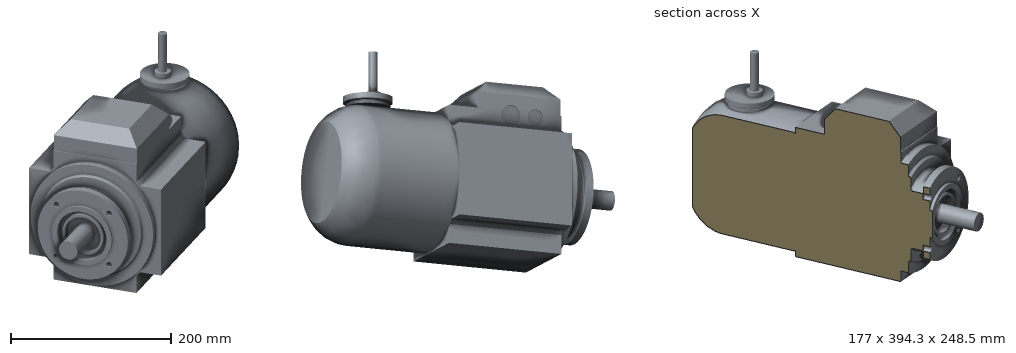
import cadquery as cq
import math


housing_width = 177.0
housing_length = 153.0
arm_half_width = 55.5
arm_half_height = 59.0
corner_chamfer = 5.0

joint_width = 1.5
joint_depth = 0.8
cover_length = 149.5
dome_length = 44.0
dome_end_radius = 64.0

base_flange = (82.0, 10.5)
neck = (52.8, 32.0)
mount_flange = (60.3, 41.8)
pilot = (39.8, 45.5)
ring_radius = 68.5
ring_front_radius = 66.5
ring_length = 3.5
neck_root_radius = 53.5
neck_root_length = 2.5
neck_end_length = 1.0

bore_radius = 33.0
bore_depth = 13.5
seal_outer_radius = 27.0
seal_inner_radius = 24.0
seal_setback = 3.0
shaft_radius = 12.2
shaft_reach = 91.8

hole_pitch = 70.5
hole_radius = 3.75
hole_depth = 10.0

box_length = 110.5
box_setback = 1.0
box_wall_top = 109.0
box_top = 127.0
box_bevel = 16.5
entry_height = 82.7
entry_depth = 1.5
cable_entries = [(68.5, 13.0), (35.0, 10.5)]

plug_y = 239.0
plug_discs = [(28.5, 91.0), (23.5, 94.0), (31.0, 101.3)]
plug_seat = 0.2
lever_y = 232.0
lever_steps = [(10.2, 108.0), (5.5, 160.0)]

housing_half = housing_width / 2


def cylinder_along_y(radius, y_start, y_end):
    plane = cq.Workplane("XZ", origin=(0, y_end, 0))
    return plane.circle(radius).extrude(y_end - y_start)


def upright_cylinder(radius, y, bottom, top):
    return cq.Workplane("XY", origin=(0, y, bottom)).circle(radius).extrude(top - bottom)


def make_housing():
    corner_x = arm_half_width + corner_chamfer
    corner_z = arm_half_height + corner_chamfer
    quarter = [
        (housing_half, arm_half_height),
        (corner_x, arm_half_height),
        (arm_half_width, corner_z),
        (arm_half_width, housing_half),
    ]
    upper = quarter + [(-x, z) for x, z in reversed(quarter)]
    lower = [(-x, -z) for x, z in upper]
    return cq.Workplane("XZ").polyline(upper + lower).close().extrude(-housing_length)


def make_cover():
    front = housing_length
    back = front + cover_length
    dome_start = back - dome_length
    drop = housing_half - dome_end_radius
    arc_radius = (dome_length**2 + drop**2) / (2 * drop)
    half_angle = math.asin(dome_length / arc_radius) / 2
    mid_radius = housing_half - arc_radius * (1 - math.cos(half_angle))
    mid_y = dome_start + arc_radius * math.sin(half_angle)
    profile = (
        cq.Workplane("XY")
        .moveTo(0, front)
        .lineTo(housing_half - joint_depth, front)
        .lineTo(housing_half - joint_depth, front + joint_width)
        .lineTo(housing_half, front + joint_width)
        .lineTo(housing_half, dome_start)
        .threePointArc((mid_radius, mid_y), (dome_end_radius, back))
        .lineTo(0, back)
        .close()
    )
    return profile.revolve(360, (0, 0, 0), (0, 1, 0))


def make_front_end():
    base_radius, base_front = base_flange
    neck_radius, neck_front = neck
    flange_radius, flange_front = mount_flange
    pilot_radius, pilot_front = pilot
    ring_front = base_front + ring_length
    profile = [
        (0, 0),
        (base_radius, 0),
        (base_radius, -base_front),
        (ring_radius, -base_front),
        (ring_front_radius, -ring_front),
        (neck_root_radius, -ring_front),
        (neck_radius, -ring_front - neck_root_length),
        (neck_radius, -neck_front + neck_end_length),
        (neck_root_radius, -neck_front),
        (flange_radius, -neck_front),
        (flange_radius, -flange_front),
        (pilot_radius, -flange_front),
        (pilot_radius, -pilot_front),
        (0, -pilot_front),
    ]
    body = cq.Workplane("XY").polyline(profile).close().revolve(360, (0, 0, 0), (0, 1, 0))
    bore_floor = bore_depth - pilot_front
    seal_front = seal_setback - pilot_front
    bore = cylinder_along_y(bore_radius, -pilot_front, bore_floor)
    seal = cylinder_along_y(seal_outer_radius, seal_front, bore_floor).cut(
        cylinder_along_y(seal_inner_radius, seal_front, bore_floor)
    )
    shaft = cylinder_along_y(shaft_radius, -shaft_reach, 0)
    holes = (
        cq.Workplane("XZ", origin=(0, -flange_front, 0))
        .rect(hole_pitch, hole_pitch, forConstruction=True)
        .vertices()
        .circle(hole_radius)
        .extrude(-hole_depth)
    )
    return body.cut(bore).cut(holes).union(seal).union(shaft)


def make_terminal_box():
    width = 2 * arm_half_width
    center_y = box_setback + box_length / 2
    walls = (
        cq.Workplane("XY", origin=(0, center_y, arm_half_height))
        .rect(width, box_length)
        .extrude(box_wall_top - arm_half_height)
    )
    lid = (
        cq.Workplane("XY", origin=(0, center_y, box_wall_top))
        .rect(width, box_length)
        .workplane(offset=box_top - box_wall_top)
        .rect(width - 2 * box_bevel, box_length - 2 * box_bevel)
        .loft(ruled=True)
    )
    return walls.union(lid)


def make_cable_entries():
    """Shallow round recesses in the -X side of the terminal box."""
    recesses = cq.Workplane("YZ", origin=(-arm_half_width, 0, 0))
    for y, radius in cable_entries:
        recesses = recesses.moveTo(y, entry_height).circle(radius)
    return recesses.extrude(entry_depth)


def make_brake_release():
    plug = cq.Workplane("XY")
    bottom = housing_half - plug_seat
    for radius, top in plug_discs:
        plug = plug.union(upright_cylinder(radius, plug_y, bottom, top))
        bottom = top
    for radius, top in lever_steps:
        plug = plug.union(upright_cylinder(radius, lever_y, bottom, top))
        bottom = top
    return plug


result = (
    make_housing()
    .union(make_cover())
    .union(make_front_end())
    .union(make_terminal_box())
    .cut(make_cable_entries())
    .union(make_brake_release())
)